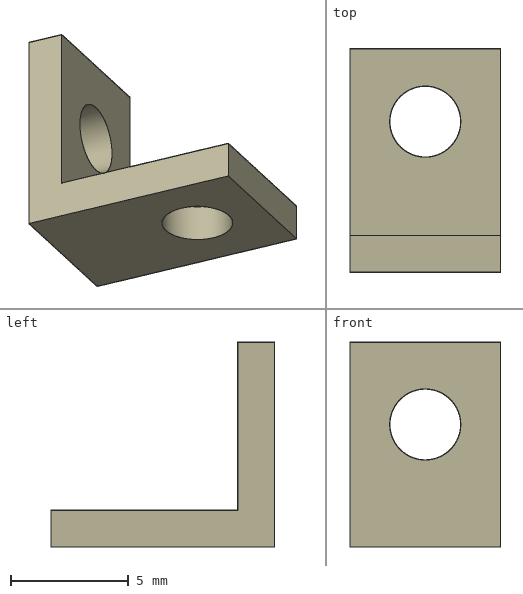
import cadquery as cq

width = 6.4
depth = 9.5
height = 8.7

thickness = 1.57

hole_diameter = 3.0
wall_hole_height = 5.2
base_hole_setback = 6.4


def bracket_body():
    """L-shaped body: a flat base with an upright wall along its front edge."""
    base = cq.Workplane("XY").box(width, depth, thickness, centered=(True, False, False))
    wall = cq.Workplane("XY").box(width, thickness, height, centered=(True, False, False))
    return base.union(wall)


def wall_hole():
    """Cylinder along Y through the upright wall."""
    return (
        cq.Workplane("XZ")
        .center(0, wall_hole_height)
        .circle(hole_diameter / 2)
        .extrude(-thickness)
    )


def base_hole():
    """Cylinder along Z through the base."""
    return (
        cq.Workplane("XY")
        .center(0, base_hole_setback)
        .circle(hole_diameter / 2)
        .extrude(thickness)
    )


result = bracket_body().cut(wall_hole()).cut(base_hole())